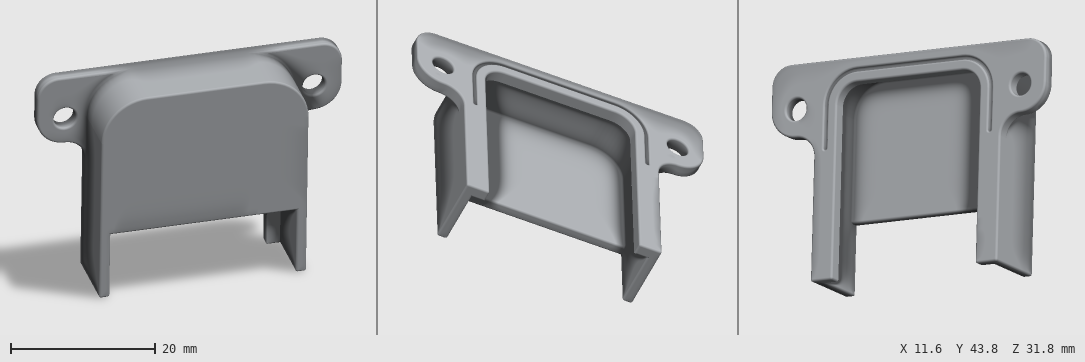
import cadquery as cq
import math

overall_width = 43.8
height = 31.35
depth = 10.0
tilt_angle = 3
plate_thickness = 2.0
front_lip_thickness = 1.8
wall_thickness = 1.5
leg_width = 3.45
edge_round = 0.3

hole_diameter = 3.2
ear_radius = 4.0
ear_top_radius = 3.0
ear_blend_radius = 3.02

hood_radius = 6.5
back_panel_height = 21.35

groove_inset = 1.75
groove_width = 0.53
groove_depth = 0.53
groove_end_drop = 12.5
groove_lip_round = 0.25
groove_floor_round = 0.2

ear_y = overall_width / 2 - ear_radius
ear_z = -hood_radius
ear_bottom_z = ear_z - ear_radius
hood_half_width = ear_y - ear_blend_radius
blend_end_z = ear_bottom_z - ear_blend_radius
cavity_half_width = hood_half_width - wall_thickness
panel_front_x = depth - wall_thickness

tolerance = 0.0005


def arch(inset, bottom_z):
    """Closed arch outline lying the given distance inside the hood's outer surface."""
    half_width = hood_half_width - inset
    radius = hood_radius - inset
    flat = half_width - radius
    arc_offset = radius * math.sqrt(0.5)
    return (
        cq.Workplane("YZ")
        .moveTo(-half_width, bottom_z)
        .lineTo(-half_width, ear_z)
        .threePointArc((-flat - arc_offset, ear_z + arc_offset), (-flat, -inset))
        .lineTo(flat, -inset)
        .threePointArc((flat + arc_offset, ear_z + arc_offset), (half_width, ear_z))
        .lineTo(half_width, bottom_z)
        .close()
    )


def ear_plate():
    """Front plate: two ears blending down into the sides of the hood."""
    half = overall_width / 2
    return (
        cq.Workplane("YZ")
        .moveTo(half - ear_top_radius, 0)
        .radiusArc((half, -ear_top_radius), ear_top_radius)
        .lineTo(half, ear_z)
        .radiusArc((ear_y, ear_bottom_z), ear_radius)
        .radiusArc((hood_half_width, blend_end_z), -ear_blend_radius)
        .lineTo(hood_half_width, -height)
        .lineTo(-hood_half_width, -height)
        .lineTo(-hood_half_width, blend_end_z)
        .radiusArc((-ear_y, ear_bottom_z), -ear_blend_radius)
        .radiusArc((-half, ear_z), ear_radius)
        .lineTo(-half, -ear_top_radius)
        .radiusArc((-half + ear_top_radius, 0), ear_top_radius)
        .close()
        .extrude(plate_thickness)
    )


def same(a, b):
    return abs(a - b) < tolerance


def lies_at_x(edge, x):
    box = edge.BoundingBox()
    return same(box.xmin, x) and same(box.xmax, x)


def lies_at_z(edge, z):
    box = edge.BoundingBox()
    return same(box.zmin, z) and same(box.zmax, z)


def furthest_y(edge):
    """Largest distance of the edge from the mid-plane Y = 0."""
    box = edge.BoundingBox()
    return max(-box.ymin, box.ymax)


def round_edges(body, chosen, radius):
    """Round every edge of the body for which the given test is true."""
    return body.newObject([edge for edge in body.edges().vals() if chosen(edge)]).fillet(radius)


def is_hood_root(edge):
    """True for the inside corners where the hood rises from the flat back of the ears."""
    return lies_at_x(edge, plate_thickness) and furthest_y(edge) < hood_half_width + tolerance


def solid_blank():
    """Ear plate, rounded at the back, joined to the solid hood with a cove at the hood's root."""
    rounded_plate = ear_plate().faces(">X").edges().fillet(edge_round)
    hood = arch(0, -height).extrude(depth)
    return round_edges(rounded_plate.union(hood), is_hood_root, edge_round)


def hollow(blank):
    """Cut the front opening, the wider cavity behind it, the panel notch and the ear holes."""
    opening = arch(leg_width, -height).extrude(front_lip_thickness)
    cavity = (
        arch(wall_thickness, -height)
        .extrude(panel_front_x - front_lip_thickness)
        .translate((front_lip_thickness, 0, 0))
    )
    notch = (
        cq.Workplane("XY")
        .box(wall_thickness, 2 * cavity_half_width, height - back_panel_height,
             centered=(False, True, False))
        .translate((panel_front_x, 0, -height))
    )
    holes = (
        cq.Workplane("YZ")
        .pushPoints([(-ear_y, ear_z), (ear_y, ear_z)])
        .circle(hole_diameter / 2)
        .extrude(plate_thickness)
    )
    return blank.cut(opening).cut(cavity).cut(notch).cut(holes)


def is_outer_edge(edge):
    """True for the remaining edges that carry the common edge round."""
    box = edge.BoundingBox()
    on_end_face = lies_at_x(edge, 0) or lies_at_x(edge, depth) or lies_at_z(edge, -height)
    on_hole_back = lies_at_x(edge, plate_thickness) and same(box.zmax, ear_z + hole_diameter / 2)
    on_panel_bottom = lies_at_z(edge, -back_panel_height) and box.ylen > cavity_half_width
    in_cavity_corner = lies_at_x(edge, panel_front_x) and box.zmax > -back_panel_height + tolerance
    return on_end_face or on_hole_back or on_panel_bottom or in_cavity_corner


def groove_cutter():
    """Round-bottomed arch channel with round ends, reaching in from the front face."""
    half = groove_width / 2
    end_y = hood_half_width - groove_inset
    band = (
        arch(groove_inset - half, -groove_end_drop)
        .extrude(groove_depth)
        .cut(arch(groove_inset + half, -groove_end_drop).extrude(groove_depth))
    )
    ends = (
        cq.Workplane("YZ")
        .pushPoints([(-end_y, -groove_end_drop), (end_y, -groove_end_drop)])
        .circle(half)
        .extrude(groove_depth)
    )
    return band.union(ends).faces(">X").edges().fillet(groove_floor_round)


def is_groove_rim(edge):
    """True for the edges where the groove meets the flat front face."""
    outer_inset = groove_inset - groove_width / 2
    inner_inset = groove_inset + groove_width / 2
    top_z = edge.BoundingBox().zmax
    crosses_top = same(top_z, -outer_inset) or same(top_z, -inner_inset)
    nearest = hood_half_width - inner_inset - tolerance
    furthest = hood_half_width - outer_inset + tolerance
    runs_down_leg = nearest < furthest_y(edge) < furthest
    return lies_at_x(edge, 0) and (crosses_top or runs_down_leg)


body = round_edges(hollow(solid_blank()), is_outer_edge, edge_round)
body = round_edges(body.cut(groove_cutter()), is_groove_rim, groove_lip_round)
result = body.rotate((0, 0, 0), (0, 1, 0), tilt_angle)